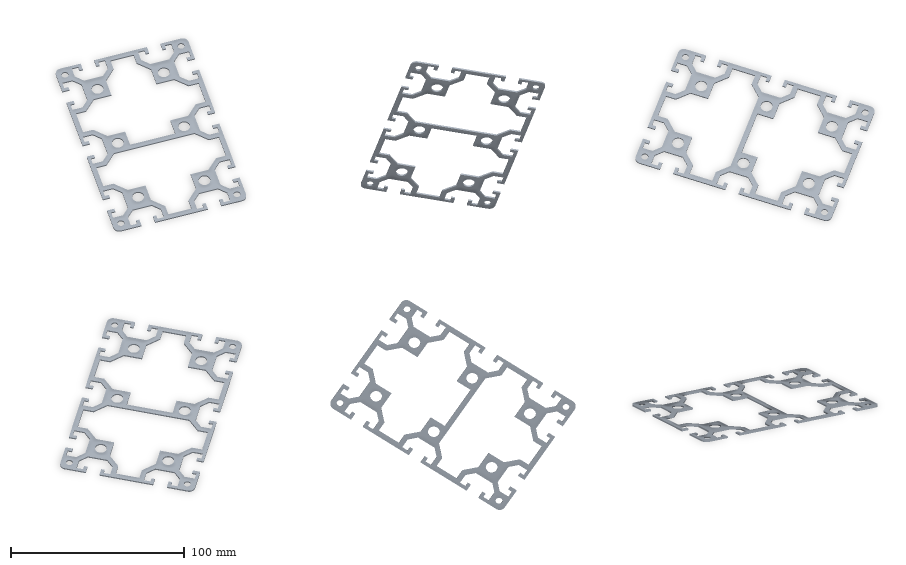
import cadquery as cq
import math

length = 120.0
columns = 3
rows = 2
pitch = length / columns
width = rows * pitch
thickness = 1.0
corner_radius = 3.5

slot_opening = 8.2
slot_width = pitch / 2
slot_depth = 12.1
slot_bottom_width = 11.4
slot_wall = 1.8
lip_width = 2.0
lip_depth = 4.3

web = 3.0
core_half = 6.4

core_hole_diameter = 6.8
corner_hole_diameter = 4.0
corner_hole_inset = pitch / 8

recess_half = (pitch - slot_width) / 2 - web
mouth_half = pitch / 2 - core_half
slot_slope_depth = slot_depth - (slot_width - slot_bottom_width) / 2
slope_shift = web * math.tan(math.radians(45 / 2))
recess_straight_depth = slot_slope_depth + slope_shift
mouth_depth = recess_straight_depth + mouth_half - recess_half
core_inner_depth = pitch / 2 + core_half


def prism(points):
    """Extrude a closed outline through the full thickness."""
    return cq.Workplane("XY").polyline(points).close().extrude(thickness)


def mirrored(half):
    """Complete an outline given on the +X side by its mirror image."""
    return half + [(-x, y) for x, y in reversed(half)]


def box_between(x_min, x_max, y_min, y_max):
    """Box through the full thickness between the given X and Y limits."""
    return (
        cq.Workplane("XY")
        .box(x_max - x_min, y_max - y_min, thickness, centered=False)
        .translate((x_min, y_min, 0))
    )


def slot():
    """T-slot opening upwards, with its mouth centred on the origin."""
    return prism(mirrored([
        (slot_opening / 2, 0),
        (slot_opening / 2, -lip_depth),
        (slot_opening / 2 + lip_width, -lip_depth),
        (slot_opening / 2 + lip_width, -slot_wall),
        (slot_width / 2, -slot_wall),
        (slot_width / 2, -slot_slope_depth),
        (slot_bottom_width / 2, -slot_depth),
    ]))


def recess():
    """Flared recess below an outer wall whose outside face lies on y = 0."""
    return prism(mirrored([
        (recess_half, -web),
        (recess_half, -recess_straight_depth),
        (mouth_half, -mouth_depth),
        (mouth_half, -core_inner_depth),
    ]))


def on_edge(cutter, angle, offset):
    """Place a cutter on the edge facing `angle` degrees from +Y, `offset` along it."""
    edge_distance = length / 2 if angle % 180 else width / 2
    return cutter.translate((offset, edge_distance, 0)).rotate((0, 0, 0), (0, 0, 1), angle)


def centred_row(count):
    """Positions of `count` items one pitch apart, centred on zero."""
    return [(i - (count - 1) / 2) * pitch for i in range(count)]


plate = cq.Workplane("XY").box(length, width, thickness, centered=(True, True, False))
plate = plate.edges("|Z").fillet(corner_radius)

for angle, count in ((0, columns), (90, rows), (180, columns), (270, rows)):
    for offset in centred_row(count):
        plate = plate.cut(on_edge(slot(), angle, offset))
    for offset in centred_row(count - 1):
        plate = plate.cut(on_edge(recess(), angle, offset))

divider_right = core_half
divider_left = divider_right - web
void_half_x = length / 2 - core_inner_depth
void_half_y = width / 2 - core_inner_depth
plate = plate.cut(box_between(-void_half_x, divider_left, -void_half_y, void_half_y))
plate = plate.cut(box_between(divider_right, void_half_x, -void_half_y, void_half_y))

core_holes = cq.Workplane("XY").rarray(pitch, pitch, columns, rows).circle(core_hole_diameter / 2)
plate = plate.cut(core_holes.extrude(thickness))
corner_holes = (
    cq.Workplane("XY")
    .rect(length - 2 * corner_hole_inset, width - 2 * corner_hole_inset, forConstruction=True)
    .vertices()
    .circle(corner_hole_diameter / 2)
)
plate = plate.cut(corner_holes.extrude(thickness))

result = plate